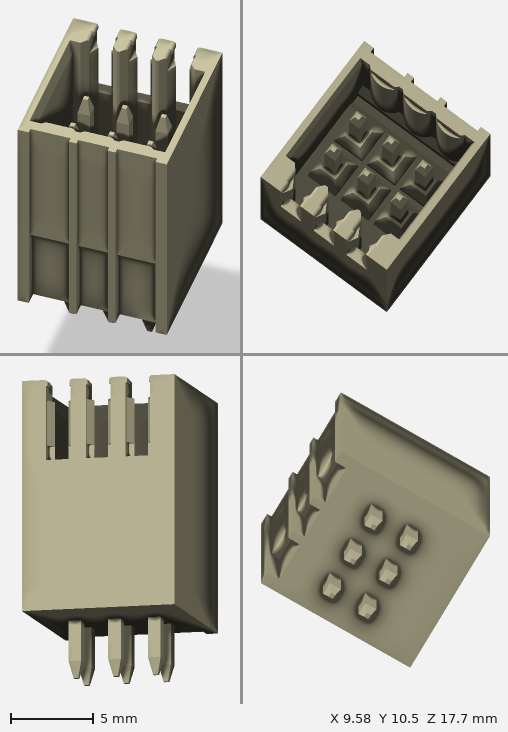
import cadquery as cq
import math

width = 9.58
depth = 10.5
total_height = 17.7
tail_length = 3.5
body_height = total_height - tail_length
front = -depth / 2
back = depth / 2

pitch = 2.5
column_xs = [-pitch, 0, pitch]
front_row_y = -1.6
back_row_y = front_row_y + pitch

pin_width = 0.8
pin_tip_width = 0.3
pin_tip_length = 1.03
pin_top = 12.09

side_wall = 0.64
lead_in_width = 0.2
lead_in_height = 0.97
front_wall = 1.0
back_wall = 1.95
floor_z = 5.0
cavity_width = width - 2 * side_wall
cavity_front = front + front_wall
cavity_back = back - back_wall

pedestal_run = 0.69
pedestal_slope = 62.0
slope_rise = math.tan(math.radians(pedestal_slope))
pedestal_height = pedestal_run * slope_rise
pedestal_top_width = 1.19
pedestal_base_width = 2.1
back_row_reach_back = 1.22
back_row_reach_front = 1.08
front_row_reach_back = 1.03
front_row_reach_front = pedestal_top_width / 2 + pedestal_run

trench_slope_run = 0.37
trench_depth = trench_slope_run * slope_rise
floor_front = front_row_y - front_row_reach_front
trench_z = floor_z - trench_depth
trench_inner = floor_front - trench_slope_run
trench_outer = -3.75
wall_foot_z = 5.17

bump_half_width = 1.1
bump_reach = 0.48
bump_top_reach = 0.2
bump_step_height = 1.0

slot_width = 1.54
slot_flare_mouth_width = 2.3
slot_flare_depth = 0.45
slot_edge_radius = 0.2
web_thickness = 0.75
web_top = 9.25
web_front = back - web_thickness
lip_opening = 1.36
lip_height = 0.39
rib_opening = 0.85
rib_top = 12.94
rib_rear_bottom = 10.18
rib_slope = 0.58

end_strip = 0.73
front_rib_width = 0.5
panel_depth = 0.32
lower_panel_depth = 0.83
panel_step_z = 5.4


def block(x_limits, y_limits, z_limits):
    """Axis-aligned box between the given limits."""
    (x0, x1), (y0, y1), (z0, z1) = x_limits, y_limits, z_limits
    return cq.Workplane("XY").box(x1 - x0, y1 - y0, z1 - z0, centered=False).translate((x0, y0, z0))


def prism_along_x(points, x0, x1):
    """Extrude a (Y, Z) outline from x0 to x1."""
    return cq.Workplane("YZ").polyline(points).close().extrude(x1 - x0).translate((x0, 0, 0))


def prism_along_z(points, z0, z1):
    """Extrude an (X, Y) outline from z0 to z1."""
    return cq.Workplane("XY").polyline(points).close().extrude(z1 - z0).translate((0, 0, z0))


def centered_span(center, size):
    """Lower and upper limit of a span around its center."""
    return (center - size / 2, center + size / 2)


def cavity():
    """Open-topped cavity with a sloped lead-in on both side walls."""
    y_limits = (cavity_front, cavity_back)
    half = cavity_width / 2
    straight = block((-half, half), y_limits, (floor_z, body_height))
    lead_in_z = body_height - lead_in_height
    outline = [
        (-half, lead_in_z),
        (half, lead_in_z),
        (half + lead_in_width, body_height),
        (-half - lead_in_width, body_height),
    ]
    lead_in = cq.Workplane("XZ", origin=(0, cavity_back, 0)).polyline(outline).close()
    lead_in = lead_in.extrude(cavity_back - cavity_front)
    return straight.union(lead_in)


def trench():
    """Trench between the sloped front edge of the floor and the foot of the front wall."""
    outline = [
        (floor_front, floor_z),
        (trench_inner, trench_z),
        (trench_outer, trench_z),
        (trench_outer, floor_z),
    ]
    return prism_along_x(outline, -cavity_width / 2, cavity_width / 2)


def wall_foot():
    """Thickening at the foot of the front wall with a 45 degree top."""
    outline = [
        (cavity_front, trench_z),
        (trench_outer, trench_z),
        (trench_outer, wall_foot_z),
        (cavity_front, wall_foot_z + trench_outer - cavity_front),
    ]
    return prism_along_x(outline, -cavity_width / 2, cavity_width / 2)


def pedestal(x, y, reach_back, reach_front):
    """Square pedestal with sloped walls, trimmed to an upright rectangular base."""
    base_width = pedestal_top_width + 2 * pedestal_run
    frustum = (
        cq.Workplane("XY", origin=(x, y, floor_z))
        .rect(base_width, base_width)
        .workplane(offset=pedestal_height)
        .rect(pedestal_top_width, pedestal_top_width)
        .loft(combine=True)
    )
    footprint = block(
        centered_span(x, pedestal_base_width),
        (y - reach_front, y + reach_back),
        (floor_z, floor_z + pedestal_height),
    )
    return frustum.intersect(footprint)


def bump(x):
    """Rounded bump inside the front wall, cut back to a step near the top."""
    lower = (
        cq.Workplane("XY", origin=(x, cavity_front, 0))
        .moveTo(-bump_half_width, 0)
        .threePointArc((0, bump_reach), (bump_half_width, 0))
        .close()
        .extrude(body_height - floor_z)
        .translate((0, 0, floor_z))
    )
    step = block(
        centered_span(x, 2 * bump_half_width),
        (cavity_front + bump_top_reach, cavity_front + bump_reach),
        (body_height - bump_step_height, body_height),
    )
    return lower.cut(step)


def latch_slot(x):
    """Slot through the back wall, closed by a low web and widened toward the cavity."""
    x_limits = centered_span(x, slot_width)
    slot = block(x_limits, (cavity_back, web_front), (floor_z, body_height))
    slot = slot.union(block(x_limits, (web_front, back), (web_top, body_height)))
    half_slot = slot_width / 2
    half_mouth = slot_flare_mouth_width / 2
    flare_end = cavity_back + slot_flare_depth
    flare = [
        (x - half_mouth, cavity_back),
        (x + half_mouth, cavity_back),
        (x + half_slot, flare_end),
        (x - half_slot, flare_end),
    ]
    return slot.union(prism_along_z(flare, floor_z, body_height))


def edge_rounding(x, side, wall_offset, y_limits):
    """Sliver that rounds the top edge of a slot wall lying wall_offset from the slot center."""
    wall = x + side * wall_offset
    far = wall + side * slot_edge_radius
    low = body_height - slot_edge_radius
    bend = slot_edge_radius * (1 - math.sqrt(0.5))
    return (
        cq.Workplane("XZ", origin=(0, y_limits[1], 0))
        .moveTo(wall, low)
        .threePointArc((wall + side * bend, body_height - bend), (far, body_height))
        .lineTo(wall, body_height)
        .close()
        .extrude(y_limits[1] - y_limits[0])
    )


def latch_rib(x, side):
    """Triangular rib on a slot wall; its front half runs to the floor, its rear half stops short."""
    wall = x + side * slot_width / 2
    tip = x + side * rib_opening / 2
    reach = abs(wall - tip) / rib_slope
    front_half = [(wall, web_front - reach), (tip, web_front), (wall, web_front)]
    rear_half = [(wall, web_front), (tip, web_front), (wall, web_front + reach)]
    rib = prism_along_z(front_half, floor_z, rib_top)
    return rib.union(prism_along_z(rear_half, rib_rear_bottom, rib_top))


def lip(x, side):
    """Small lip that narrows the rear of the slot at the top."""
    x_limits = sorted((x + side * lip_opening / 2, x + side * slot_width / 2))
    return block(x_limits, (web_front, back), (body_height - lip_height, body_height))


def front_panel(x0, x1):
    """Shallow panel that deepens below a 45 degree step."""
    upper = front + panel_depth
    lower = front + lower_panel_depth
    outline = [
        (front, 0),
        (lower, 0),
        (lower, panel_step_z - (lower - upper)),
        (upper, panel_step_z),
        (upper, body_height),
        (front, body_height),
    ]
    return prism_along_x(outline, x0, x1)


def pin_tip(x, y, z, direction):
    """Pyramid-shaped pin end starting at z and narrowing along direction (+1 up, -1 down)."""
    return (
        cq.Workplane("XY", origin=(x, y, z))
        .rect(pin_width, pin_width)
        .workplane(offset=direction * pin_tip_length)
        .rect(pin_tip_width, pin_tip_width)
        .loft(combine=True)
    )


def pin(x, y):
    """Square pin with a tapered tip at both ends."""
    shank_bottom = pin_tip_length - tail_length
    shank_top = pin_top - pin_tip_length
    shank = block(centered_span(x, pin_width), centered_span(y, pin_width), (shank_bottom, shank_top))
    return shank.union(pin_tip(x, y, shank_top, 1)).union(pin_tip(x, y, shank_bottom, -1))


housing = block((-width / 2, width / 2), (front, back), (0, body_height))
housing = housing.cut(cavity()).cut(trench()).union(wall_foot())

for column_x in column_xs:
    housing = housing.union(pedestal(column_x, back_row_y, back_row_reach_back, back_row_reach_front))
    housing = housing.union(pedestal(column_x, front_row_y, front_row_reach_back, front_row_reach_front))

    housing = housing.union(bump(column_x)).cut(latch_slot(column_x))
    for wall_side in (-1, 1):
        housing = housing.union(latch_rib(column_x, wall_side)).union(lip(column_x, wall_side))
        housing = housing.cut(edge_rounding(column_x, wall_side, slot_width / 2, (cavity_back, web_front)))
        housing = housing.cut(edge_rounding(column_x, wall_side, lip_opening / 2, (web_front, back)))

rib_inner = pitch / 2 - front_rib_width / 2
rib_outer = pitch / 2 + front_rib_width / 2
panel_end = width / 2 - end_strip
for panel_limits in ((-panel_end, -rib_outer), (-rib_inner, rib_inner), (rib_outer, panel_end)):
    housing = housing.cut(front_panel(*panel_limits))

for column_x in column_xs:
    for row_y in (front_row_y, back_row_y):
        housing = housing.union(pin(column_x, row_y))

result = housing